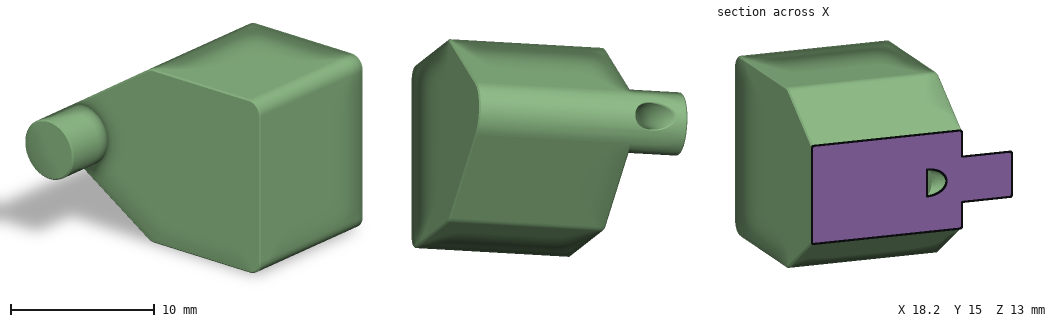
import cadquery as cq
import math

length = 18.2
height = 13.0
body_depth = 11.25
pin_length = 3.75
pin_radius = 2.2

corner_radius = 1.0
shoulder_x = 6.05
edge_chamfer = 0.11

hole_radius = 0.95
hole_angle = 42.0
hole_y = -1.45
hole_depth = 5.46
hole_rim_chamfer = 0.07

half_height = height / 2
back_x = length - pin_radius


def make_body():
    """Tapered block with slopes tangent to the pin, notched to the pin axis."""
    corner_distance = math.hypot(shoulder_x, half_height)
    slope = math.atan2(half_height, shoulder_x) - math.asin(pin_radius / corner_distance)
    tangent_x = -pin_radius * math.sin(slope)
    tangent_z = pin_radius * math.cos(slope)
    block = (
        cq.Workplane("XZ")
        .moveTo(tangent_x, tangent_z)
        .lineTo(shoulder_x, half_height)
        .lineTo(back_x, half_height)
        .lineTo(back_x, -half_height)
        .lineTo(shoulder_x, -half_height)
        .lineTo(tangent_x, -tangent_z)
        .lineTo(0, 0)
        .close()
        .extrude(-body_depth)
    )
    rounded_corners = cq.selectors.BoxSelector(
        (0, -0.18, -height), (length, body_depth + 0.18, height)
    )
    block = block.edges("|Y").edges(rounded_corners).fillet(corner_radius)
    root_edges = cq.selectors.BoxSelector(
        (-pin_radius, -0.18, -pin_radius), (0, body_depth + 0.18, pin_radius)
    )
    outer_edges = -root_edges
    return block.faces("<Y or >Y").edges(outer_edges).chamfer(edge_chamfer)


def make_pin():
    """Round pin running through the full depth as the nose, chamfered at both ends."""
    pin = cq.Solid.makeCylinder(
        pin_radius, pin_length + body_depth, cq.Vector(0, -pin_length, 0), cq.Vector(0, 1, 0)
    )
    return cq.Workplane(pin).faces("<Y or >Y").chamfer(edge_chamfer)


def cut_hole(part):
    """Cut the blind hole that slants from the pin surface into the body and chamfer its rim."""
    angle = math.radians(hole_angle)
    direction = cq.Vector(math.sin(angle), math.cos(angle), 0)
    mouth = cq.Vector(-pin_radius, hole_y, 0)
    lead = 2 * pin_radius
    cutter = cq.Solid.makeCylinder(
        hole_radius, lead + hole_depth, mouth - direction * lead, direction
    )
    part = part.cut(cq.Workplane(cutter))
    mouth_reach = 1.1 * hole_radius / math.sin(angle)
    mouth_box = cq.selectors.BoxSelector(
        (-1.1 * pin_radius, hole_y - mouth_reach, -mouth_reach),
        (-pin_radius / 2, hole_y + mouth_reach, mouth_reach),
        boundingbox=True,
    )
    return part.edges(mouth_box).chamfer(hole_rim_chamfer)


result = cut_hole(make_body().union(make_pin()))